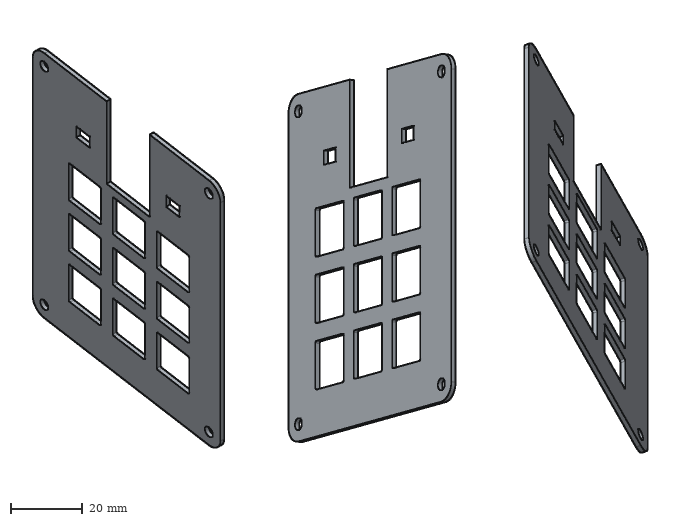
import cadquery as cq

width = 81.1
height = 99.7
thickness = 1.5
corner_radius = 5.0

hole_diameter = 3.4

keys_per_side = 3
key_size = 14.0
key_pitch = 19.0
key_corner_radius = 0.5
key_grid_x = 1.0
key_grid_z = -10.4

notch_width = 18.5
notch_depth = 31.0
notch_x = 0.7

window_width = 5.8
window_height = 4.1
window_spacing = 38.8
window_pair_x = 0.6
window_z = 29.5


def box_at(x, z, size_x, size_z):
    """Block of plate thickness centred at (x, z)."""
    return cq.Workplane("XY").box(size_x, thickness, size_z).translate((x, 0, z))


def make_plate():
    plate = box_at(0, 0, width, height).edges("|Y").fillet(corner_radius)
    return (
        plate.faces("<Y")
        .workplane(centerOption="CenterOfBoundBox")
        .rect(width - 2 * corner_radius, height - 2 * corner_radius, forConstruction=True)
        .vertices()
        .hole(hole_diameter)
    )


def cut_keys(plate):
    middle = (keys_per_side - 1) / 2
    for column in range(keys_per_side):
        for row in range(keys_per_side):
            x = key_grid_x + (column - middle) * key_pitch
            z = key_grid_z + (row - middle) * key_pitch
            opening = box_at(x, z, key_size, key_size).edges("|Y").fillet(key_corner_radius)
            plate = plate.cut(opening)
    return plate


def cut_notch(plate):
    return plate.cut(box_at(notch_x, (height - notch_depth) / 2, notch_width, notch_depth))


def cut_windows(plate):
    for side in (-1, 1):
        x = window_pair_x + side * window_spacing / 2
        plate = plate.cut(box_at(x, window_z, window_width, window_height))
    return plate


result = cut_windows(cut_notch(cut_keys(make_plate())))